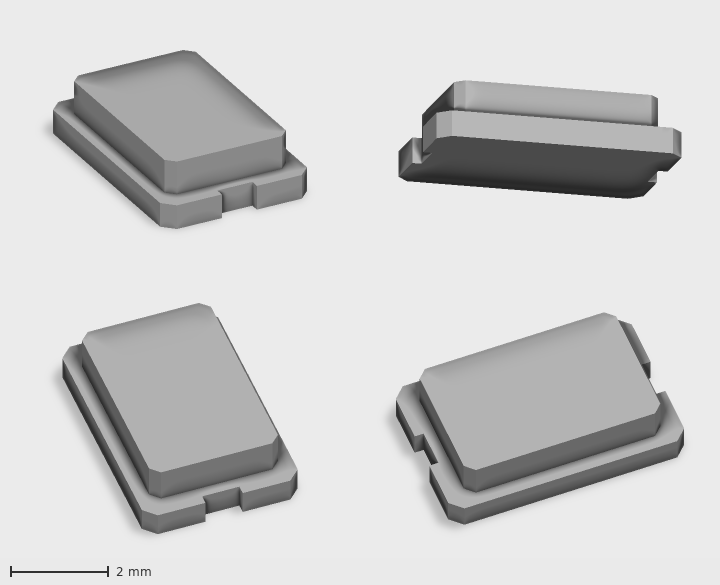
import cadquery as cq

LENGTH = 5.2
WIDTH = 3.4
HEIGHT = 1.3

ENDS = (-1, 1)

BASE_HEIGHT = 0.545
BASE_CHAMFER = 0.255
NOTCH_DEPTH = 0.2
NOTCH_WIDTH = 0.81

LID_LENGTH = 4.33
LID_WIDTH = 2.815
LID_HEIGHT = HEIGHT - BASE_HEIGHT
LID_CHAMFER = 0.19

TERMINAL_LENGTH = 1.195
TERMINAL_WIDTH = 1.995
TERMINAL_HEIGHT = 0.27


def chamfered_plate(length, width, height, chamfer, bottom):
    """Flat plate with its four upright corners cut off at 45 degrees."""
    plate = cq.Workplane("XY").workplane(offset=bottom).rect(length, width).extrude(height)
    return plate.edges("|Z").chamfer(chamfer)


def end_block(side, length, width, height):
    """Block standing on Z = 0 that reaches inward from one end (side is -1 or +1)."""
    center_x = side * (LENGTH - length) / 2
    return cq.Workplane("XY").center(center_x, 0).rect(length, width).extrude(height)


def end_notch(side):
    """Space of the notch in the middle of one end, as deep as the base plate."""
    return end_block(side, NOTCH_DEPTH, NOTCH_WIDTH, BASE_HEIGHT)


def make_terminal(side):
    """Terminal pad whose outer face follows the end of the base and its notch."""
    pad = end_block(side, TERMINAL_LENGTH, TERMINAL_WIDTH, TERMINAL_HEIGHT)
    return pad.cut(end_notch(side))


def make_housing(terminals):
    """Notched base and raised lid in one piece, with a recess for each terminal."""
    base = chamfered_plate(LENGTH, WIDTH, BASE_HEIGHT, BASE_CHAMFER, 0)
    lid = chamfered_plate(LID_LENGTH, LID_WIDTH, LID_HEIGHT, LID_CHAMFER, BASE_HEIGHT)
    body = base.union(lid)
    for side in ENDS:
        body = body.cut(end_notch(side))
    for terminal in terminals:
        body = body.cut(terminal)
    return body


terminals = [make_terminal(side) for side in ENDS]
housing = make_housing(terminals)

bodies = [housing, *terminals]
result = cq.Compound.makeCompound([body.solids().val() for body in bodies])